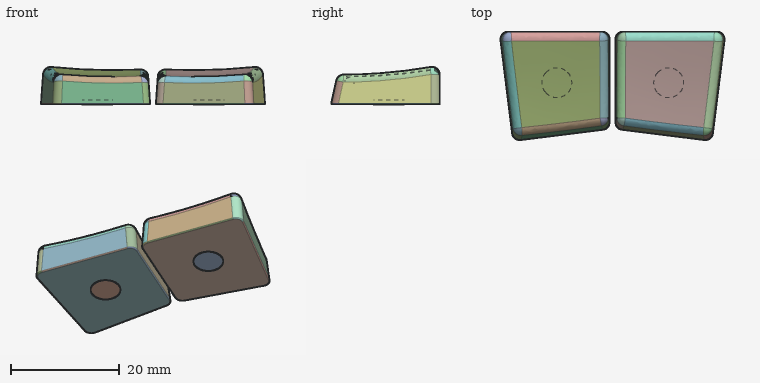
import cadquery as cq
import math

cap_gap = 1.0
rear_y = 10.0
rear_width = 20.35
inner_depth = 18.0
splay_angle = 7.1

side_draft = 4.0
front_draft = 12.0

corner_radius = 1.5
foot_radius = 0.2

dish_x = 7.43
dish_y = -6.8
dish_bottom = 5.1
dish_radius_x = 110.15
dish_radius_y = 94.9
dish_reach = 24.75
dish_sweep = 30.0

blank_height = 9.08

pad_diameter = 5.5
pad_height = 1.0
pad_protrusion = 0.1
pad_x = 10.27
pad_y = 0.6


def outline_at(height):
    """Four sharp corners of the cap outline at a height, with the drafted walls moved inward."""
    side_inset = height * math.tan(math.radians(side_draft))
    front_inset = height * math.tan(math.radians(front_draft))
    slope = math.tan(math.radians(splay_angle))
    stretch = 1 / math.cos(math.radians(splay_angle))

    inner_x = cap_gap / 2 + side_inset
    outer_start = cap_gap / 2 + rear_width - side_inset * stretch
    front_start = rear_y - inner_depth + front_inset * stretch

    front_fall = rear_y - front_start - slope * cap_gap / 2
    front_outer_x = (outer_start - slope * front_fall) / (1 + slope**2)

    def front_y(x):
        return front_start - slope * (x - cap_gap / 2)

    return [
        (inner_x, rear_y),
        (outer_start, rear_y),
        (front_outer_x, front_y(front_outer_x)),
        (inner_x, front_y(inner_x)),
    ]


def make_dish_cutter():
    """Everything above the dished top: an arc along Y, swept around an axis parallel to Y."""
    arc_end_z = dish_bottom + dish_radius_y - math.sqrt(dish_radius_y**2 - dish_reach**2)
    top_z = blank_height + dish_reach
    axis_height = dish_bottom + dish_radius_x
    cutter = (
        cq.Workplane("YZ", origin=(dish_x, dish_y, 0))
        .moveTo(-dish_reach, arc_end_z)
        .threePointArc((0, dish_bottom), (dish_reach, arc_end_z))
        .lineTo(dish_reach, top_z)
        .lineTo(-dish_reach, top_z)
        .close()
        .revolve(dish_sweep, (0, axis_height), (1, axis_height))
    )
    axis_start = (dish_x, 0, axis_height)
    axis_end = (dish_x, 1, axis_height)
    return cutter.rotate(axis_start, axis_end, -dish_sweep / 2)


def make_pad():
    return (
        cq.Workplane("XY", origin=(pad_x, pad_y, -pad_protrusion))
        .circle(pad_diameter / 2)
        .extrude(pad_height)
    )


def make_keycap():
    blank = (
        cq.Workplane("XY")
        .polyline(outline_at(0))
        .close()
        .workplane(offset=blank_height)
        .polyline(outline_at(blank_height))
        .close()
        .loft(ruled=True)
    )
    cap = blank.cut(make_dish_cutter())
    cap = cap.edges("not(<Z)").fillet(corner_radius)
    cap = cap.faces("<Z").edges().fillet(foot_radius)
    return cap.cut(make_pad())


def both_sides(body):
    """The +X body and its mirror image on the -X side."""
    return [body.val(), body.mirror("YZ").val()]


keycaps = both_sides(make_keycap())
pads = both_sides(make_pad())

result = cq.Compound.makeCompound([*keycaps, *pads])